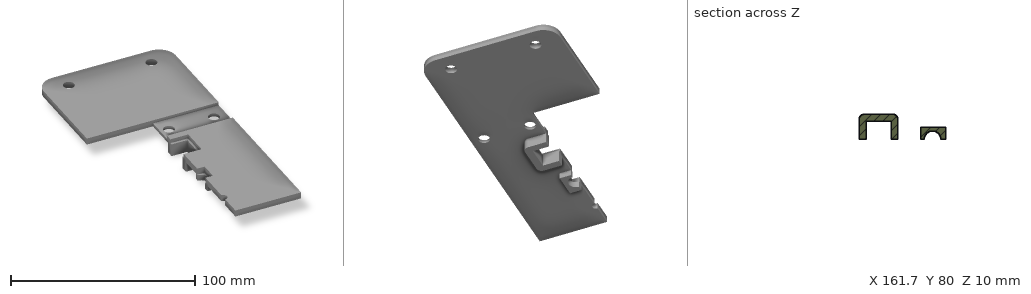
import cadquery as cq

length = 161.7
width = 80.0
thickness = 3.9
wide_length = 62.1
arm_width = 40.0
arm_front = width - arm_width
corner_radius = 10.0

hole_diameter = 6.5
end_hole_x = 10.5
end_hole_spacing = 50.1
step_hole_x = 71.1
step_hole_front_offset = 5.2
step_hole_spacing = 27.3

step_end = 79.0
step_depth = thickness / 2

block_center_x = 91.2
block_length = 21.3
block_width = 13.7
block_height = 10.0
block_corner_radius = 3.0
slot_length = 13.3
slot_width = 9.5
ledge_length = 16.2
ledge_width = 10.8
ledge_depth = 2.5

bore_center_x = 120.5
boss_center_x = 121.0
boss_length = 13.7
boss_width = 6.8
boss_height = 7.5
bore_radius = 4.4
pocket_length = 10.0
pocket_width = 4.5

notch_center_x = 147.1
notch_radius = 2.3


def edge_box(center_x, size_x, size_y, depth):
    """Box from the arm's front edge inwards, hanging down from the top face."""
    return (
        cq.Workplane("XY")
        .box(size_x, size_y, depth, centered=(True, False, False))
        .translate((center_x, arm_front, -depth))
    )


def edge_cylinder(center_x, radius, depth):
    """Cylinder centred on the arm's front edge, hanging down from the top face."""
    return cq.Workplane("XY").center(center_x, arm_front).circle(radius).extrude(-depth)


def plate():
    """L-shaped plate with its top face at Z = 0 and rounded left corners."""
    wide_part = (
        cq.Workplane("XY")
        .box(wide_length, width, thickness, centered=False)
        .edges("|Z and <X")
        .fillet(corner_radius)
        .translate((0, 0, -thickness))
    )
    arm_length = length - wide_length
    arm = edge_box(wide_length + arm_length / 2, arm_length, arm_width, thickness)
    return wide_part.union(arm)


def step():
    """Material removed from the top of the thinned strip."""
    step_length = step_end - wide_length
    return edge_box(wide_length + step_length / 2, step_length, arm_width, step_depth)


def mounting_holes():
    end_hole_y = (width - end_hole_spacing) / 2
    step_hole_y = arm_front + step_hole_front_offset
    centers = [
        (end_hole_x, end_hole_y),
        (end_hole_x, end_hole_y + end_hole_spacing),
        (step_hole_x, step_hole_y),
        (step_hole_x, step_hole_y + step_hole_spacing),
    ]
    return cq.Workplane("XY").pushPoints(centers).circle(hole_diameter / 2).extrude(-thickness)


def add_square_holder(body):
    block = (
        edge_box(block_center_x, block_length, block_width, block_height)
        .edges("|Z and >Y")
        .fillet(block_corner_radius)
    )
    slot = edge_box(block_center_x, slot_length, slot_width, block_height)
    ledge = edge_box(block_center_x, ledge_length, ledge_width, ledge_depth)
    return body.union(block).cut(slot).cut(ledge)


def add_round_holder(body):
    boss = edge_box(boss_center_x, boss_length, boss_width, boss_height)
    bore = edge_cylinder(bore_center_x, bore_radius, boss_height)
    pocket = edge_box(bore_center_x, pocket_length, pocket_width, thickness)
    return body.union(boss).cut(bore).cut(pocket)


result = plate().cut(step()).cut(mounting_holes())
result = add_square_holder(result)
result = add_round_holder(result)
result = result.cut(edge_cylinder(notch_center_x, notch_radius, thickness))